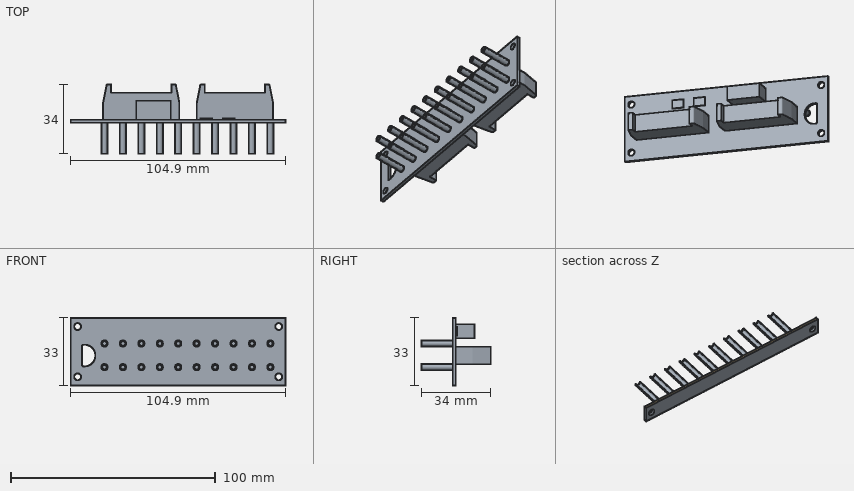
import cadquery as cq

board_width = 104.9
board_height = 33.0
board_thickness = 1.6

mount_hole_diameter = 3.3
mount_spacing_x = 98.2
mount_spacing_z = 24.5

opening_radius = 5.2
opening_center_x = -45.7
opening_center_z = -1.9
opening_straight = 1.2
opening_corner_radius = 0.6

pin_count = 10
pin_row_length = 81.0
pin_pitch = pin_row_length / (pin_count - 1)
pin_first_x = -36.0
pin_rows_z = (-7.6, 4.0)
pin_diameter = 3.1
pin_bore_diameter = 2.2
pin_length = 15.2

connector_count = 2
connector_pitch = 45.7
connector_first_x = -18.0
connector_width = 37.3
connector_bottom_z = -6.2
connector_top_z = 2.4
connector_depth = 17.2
shoulder_depth = 8.2
recess_floor_depth = 13.2
recess_width = 29.4
latch_tip_width = 2.2
latch_tip_radius = 0.7

block_width = 16.8
block_depth = 9.2
block_height = 6.9
block_center_x = -12.1
block_center_z = 10.0

chip_width = 5.8
chip_depth = 0.7
chip_height = 4.2
chip_centers_x = (13.7, 24.8)


def make_board():
    board = cq.Workplane("XY").box(
        board_width, board_thickness, board_height, centered=(True, False, True)
    )
    mount_holes = (
        cq.Workplane("XZ")
        .rect(mount_spacing_x, mount_spacing_z, forConstruction=True)
        .vertices()
        .circle(mount_hole_diameter / 2)
        .extrude(-board_thickness)
    )
    return board.cut(mount_holes).cut(make_opening())


def make_opening():
    return (
        cq.Workplane("XZ", origin=(opening_center_x, 0, opening_center_z))
        .moveTo(-opening_straight, -opening_radius)
        .lineTo(0, -opening_radius)
        .threePointArc((opening_radius, 0), (0, opening_radius))
        .lineTo(-opening_straight, opening_radius)
        .close()
        .extrude(-board_thickness)
        .edges("|Y and <X")
        .fillet(opening_corner_radius)
    )


def make_pins():
    centers = [
        (pin_first_x + column * pin_pitch, z)
        for z in pin_rows_z
        for column in range(pin_count)
    ]
    return (
        cq.Workplane("XZ")
        .pushPoints(centers)
        .circle(pin_diameter / 2)
        .circle(pin_bore_diameter / 2)
        .extrude(pin_length)
    )


def make_connector(center_x):
    """Block with tapered sides and a full-height recess between two latch tips."""
    half_width = connector_width / 2
    half_recess = recess_width / 2
    half_tips = half_recess + latch_tip_width
    outline = [
        (-half_width, 0),
        (half_width, 0),
        (half_width, shoulder_depth),
        (half_tips, connector_depth),
        (half_recess, connector_depth),
        (half_recess, recess_floor_depth),
        (-half_recess, recess_floor_depth),
        (-half_recess, connector_depth),
        (-half_tips, connector_depth),
        (-half_width, shoulder_depth),
    ]
    body = (
        cq.Workplane("XY", origin=(center_x, board_thickness, connector_bottom_z))
        .polyline(outline)
        .close()
        .extrude(connector_top_z - connector_bottom_z)
    )
    tip_y = board_thickness + connector_depth
    for side in (-1, 1):
        tip_corner = cq.selectors.NearestToPointSelector(
            (center_x + side * half_tips, tip_y, (connector_bottom_z + connector_top_z) / 2)
        )
        body = body.edges(tip_corner).fillet(latch_tip_radius)
    return body


def make_component(width, depth, height, center_x):
    """Plain box standing on the back face of the board."""
    return cq.Workplane("XY", origin=(center_x, board_thickness, block_center_z)).box(
        width, depth, height, centered=(True, False, True)
    )


result = make_board().union(make_pins())
for index in range(connector_count):
    result = result.union(make_connector(connector_first_x + index * connector_pitch))
result = result.union(make_component(block_width, block_depth, block_height, block_center_x))
for chip_x in chip_centers_x:
    result = result.union(make_component(chip_width, chip_depth, chip_height, chip_x))